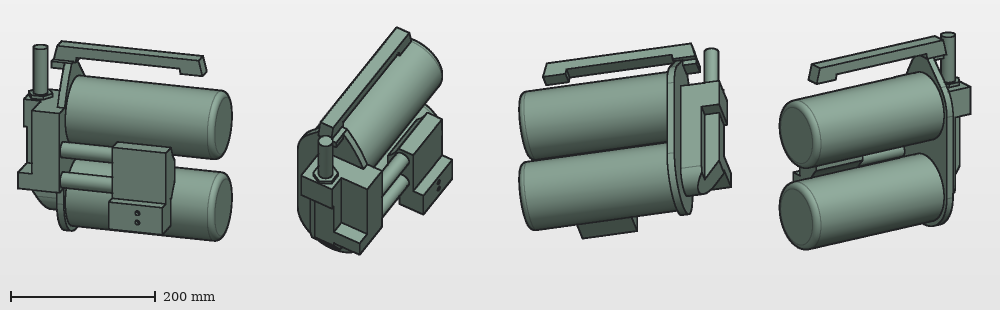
import cadquery as cq
import math


cylinder_diameter = 96.0
cylinder_length = 214.0
cylinder_spacing = 120.0
cylinder_end_radius = 8.5

plate_thickness = 10.3
plate_radius = 55.0
plate_top_z = 194.5
plate_top_right_y = -18.7
plate_top_left_y = 3.0
plate_curve_mid = (-37.7, 168.0)
plate_curve_end = (-51.0, 140.5)
plate_shoulder_z = 128.3

bracket_length = 19.3
bracket_height = 9.5

handle_center_x = 79.0
handle_width = 20.6
handle_bottom_z = 192.8
handle_height = 22.3
handle_recess_height = 7.5
handle_bottom_half_length = 108.3
handle_top_half_length = 102.7
recess_bottom_half_length = 76.2
recess_top_half_length = 74.8

body_front_x = -60.3
body_top_z = 140.0
body_bottom_z = 23.5
body_right_y = -75.0
head_front_x = -65.0
head_bottom_z = 100.0
column_width = 50.2
column_center_y = -8.5
recess_floor_x = -40.0
pocket_bottom_z = 47.2
recess_right_y = -2.8
bevel_start_z = 18.5
bevel_end_x = -29.9

stem_x = -47.2
stem_y = -12.3
stem_diameter = 20.0
stem_top_z = 211.5
nut_across_corners = 35.0
nut_height = 4.7

rod_diameter = 22.0
rod_y = -61.0
rod_heights = (38.0, 82.3)
clamp_start_x = 77.8
clamp_length = 77.8
clamp_top_z = 100.0
clamp_step_z = 25.0
clamp_bottom_z = -14.5
clamp_face_y = -78.7
clamp_foot_y = -95.0
clamp_foot_back_y = -56.4
clamp_web_back_y = -38.0
clamp_saddle_radius = 58.3
hole_diameter = 6.0
hole_depth = 8.5
hole_x = 119.5
hole_heights = (-0.5, 13.0)


def box(x_range, y_range, z_range):
    """Box given by its limits along each axis."""
    size = [limits[1] - limits[0] for limits in (x_range, y_range, z_range)]
    corner = (x_range[0], y_range[0], z_range[0])
    return cq.Workplane("XY").box(*size, centered=False).translate(corner)


def rod_along_x(start_x, length, y, z, diameter):
    plane = cq.Workplane("YZ", origin=(start_x, y, z))
    return plane.circle(diameter / 2).extrude(length)


def make_cylinder(z):
    cylinder = rod_along_x(0, cylinder_length, 0, z, cylinder_diameter)
    return cylinder.faces(">X").edges().fillet(cylinder_end_radius)


def make_plate():
    tangent_offset = plate_radius * math.sin(math.radians(45))
    arc_mid_y = plate_radius * math.cos(math.radians(22.5))
    arc_mid_z = cylinder_spacing + plate_radius * math.sin(math.radians(22.5))
    return (
        cq.Workplane("YZ", origin=(-plate_thickness, 0, 0))
        .moveTo(plate_radius, 0)
        .lineTo(plate_radius, cylinder_spacing)
        .threePointArc((arc_mid_y, arc_mid_z), (tangent_offset, cylinder_spacing + tangent_offset))
        .lineTo(plate_top_left_y, plate_top_z)
        .lineTo(plate_top_right_y, plate_top_z)
        .threePointArc(plate_curve_mid, plate_curve_end)
        .lineTo(-plate_radius, plate_shoulder_z)
        .lineTo(-plate_radius, 0)
        .threePointArc((0, -plate_radius), (plate_radius, 0))
        .close()
        .extrude(plate_thickness)
    )


def make_bracket():
    return box(
        (-plate_thickness - bracket_length, -plate_thickness),
        (plate_top_right_y, plate_top_left_y),
        (plate_top_z - bracket_height, plate_top_z),
    )


def make_handle():
    recess_z = handle_bottom_z + handle_recess_height
    top_z = handle_bottom_z + handle_height
    right_half = [
        (recess_top_half_length, recess_z),
        (recess_bottom_half_length, handle_bottom_z),
        (handle_bottom_half_length, handle_bottom_z),
        (handle_top_half_length, top_z),
    ]
    left_half = [(-x, z) for x, z in reversed(right_half)]
    return (
        cq.Workplane("XZ", origin=(handle_center_x, 0, 0))
        .polyline(right_half + left_half)
        .close()
        .extrude(handle_width / 2, both=True)
    )


def make_body():
    column_radius = column_width / 2
    column_left_y = column_center_y + column_radius
    column_right_y = column_center_y - column_radius

    column = box((body_front_x, 0), (column_right_y, column_left_y), (0, body_top_z))
    column_end = rod_along_x(body_front_x, -body_front_x, column_center_y, 0, column_width)
    side = box((body_front_x, 0), (body_right_y, column_right_y), (body_bottom_z, body_top_z))
    head = box((head_front_x, 0), (column_right_y, column_left_y), (head_bottom_z, body_top_z))

    pocket = box(
        (body_front_x, recess_floor_x),
        (body_right_y, column_right_y),
        (pocket_bottom_z, body_top_z),
    )
    recess = box(
        (body_front_x, recess_floor_x),
        (recess_right_y, column_left_y),
        (-column_radius, head_bottom_z),
    )
    bevel = (
        cq.Workplane("XZ", origin=(0, column_center_y, 0))
        .polyline([
            (body_front_x, bevel_start_z),
            (bevel_end_x, -column_radius),
            (body_front_x, -column_radius),
        ])
        .close()
        .extrude(column_radius, both=True)
    )
    body = column.union(column_end).union(side)
    return body.cut(pocket).cut(recess).cut(bevel).union(head)


def make_stem():
    base = cq.Workplane("XY", origin=(stem_x, stem_y, body_top_z))
    nut = base.polygon(6, nut_across_corners).extrude(nut_height)
    stem = base.circle(stem_diameter / 2).extrude(stem_top_z - body_top_z)
    return nut.union(stem)


def make_clamp():
    clamp_x = (clamp_start_x, clamp_start_x + clamp_length)
    web = box(clamp_x, (clamp_face_y, clamp_web_back_y), (clamp_step_z, clamp_top_z))
    foot = box(clamp_x, (clamp_foot_y, clamp_foot_back_y), (clamp_bottom_z, clamp_step_z))

    for z in (0, cylinder_spacing):
        web = web.cut(rod_along_x(clamp_start_x, clamp_length, 0, z, 2 * clamp_saddle_radius))
    clamp = web.union(foot)

    for z in hole_heights:
        hole_plane = cq.Workplane("XZ", origin=(hole_x, clamp_foot_y, z))
        clamp = clamp.cut(hole_plane.circle(hole_diameter / 2).extrude(-hole_depth))
    return clamp


result = make_plate().union(make_bracket()).union(make_handle())
result = result.union(make_body()).union(make_stem()).union(make_clamp())
for cylinder_z in (0, cylinder_spacing):
    result = result.union(make_cylinder(cylinder_z))
for rod_z in rod_heights:
    result = result.union(rod_along_x(0, clamp_start_x, rod_y, rod_z, rod_diameter))